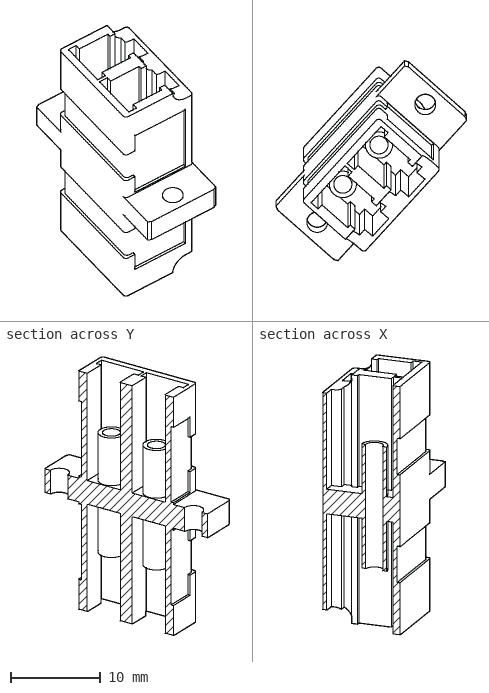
import cadquery as cq

BODY_WIDTH = 12.73
BODY_DEPTH = 9.3
BODY_HEIGHT = 29.2
BODY_CORNER_RADIUS = 0.38

FLANGE_WIDTH = 21.85
FLANGE_THICKNESS = 2.95
FLANGE_CHAMFER_X = 0.2
FLANGE_CHAMFER_Y = 0.4
MOUNT_HOLE_DIAMETER = 2.3
MOUNT_HOLE_OFFSET = 9.0

RELIEF_RADIUS = 1.85
RELIEF_FRONT_Y = 1.87

RECESS_DEPTH = 0.32
RECESS_CORNER_RADIUS = 0.47
PANEL_BOTTOM_Z = 1.7
PANEL_TOP_Z = 10.9
PANEL_FRONT_Y = -3.3
PANEL_BACK_Y = 3.6
BAND_BOTTOM_Z = 4.23
BAND_TOP_Z = 8.45

SOCKET_OFFSET = 3.0
SOCKET_FLOOR_Z = FLANGE_THICKNESS / 2
FOOT_WIDTH = 5.65
FOOT_FRONT_Y = -3.77
FOOT_BACK_Y = -2.72
BAY_WIDTH = 4.38
BAY_BACK_Y = 2.92
KEYWAY_WIDTH = 2.7
KEYWAY_BACK_Y = 4.12
RIB_PROJECTION = 0.4
RIB_FRONT_Y = 1.17
RIB_BACK_Y = RELIEF_FRONT_Y

TUBE_DIAMETER = 3.0
TUBE_BORE = 2.01
TUBE_LENGTH = 5.85
TUBE_Y = -1.55


def box_between(x_range, y_range, z_range):
    """Axis-aligned box given by its limits along X, Y and Z."""
    (x0, x1), (y0, y1), (z0, z1) = x_range, y_range, z_range
    return cq.Workplane("XY").box(x1 - x0, y1 - y0, z1 - z0, centered=False).translate((x0, y0, z0))


def centred_span(size):
    """Limits of a length centred on zero."""
    return (-size / 2, size / 2)


def rounded_block(width, depth, height, radius):
    """Centred block with its four vertical edges rounded."""
    return cq.Workplane("XY").box(width, depth, height).edges("|Z").fillet(radius)


def mounting_flange():
    """Centred plate as deep as the body, its outer corners cut by uneven chamfers."""
    end_x = FLANGE_WIDTH / 2
    face_y = BODY_DEPTH / 2
    shoulder_x = end_x - FLANGE_CHAMFER_X
    shoulder_y = face_y - FLANGE_CHAMFER_Y
    outline = [
        (shoulder_x, -face_y),
        (end_x, -shoulder_y),
        (end_x, shoulder_y),
        (shoulder_x, face_y),
        (-shoulder_x, face_y),
        (-end_x, shoulder_y),
        (-end_x, -shoulder_y),
        (-shoulder_x, -face_y),
    ]
    return cq.Workplane("XY").polyline(outline).close().extrude(FLANGE_THICKNESS / 2, both=True)


def latch_relief():
    """Cutter for the upper end: open to the back, with a concave quarter round in front."""
    top = BODY_HEIGHT / 2
    floor = top - RELIEF_RADIUS
    round_end_y = RELIEF_FRONT_Y + RELIEF_RADIUS
    return (
        cq.Workplane("YZ")
        .moveTo(RELIEF_FRONT_Y, top)
        .radiusArc((round_end_y, floor), -RELIEF_RADIUS)
        .lineTo(BODY_DEPTH, floor)
        .lineTo(BODY_DEPTH, top)
        .close()
        .extrude(BODY_WIDTH / 2, both=True)
    )


def outer_recess():
    """Cutter for the upper half: side panels joined to a band that wraps around the front."""
    body_span = centred_span(BODY_WIDTH)
    panels = box_between(body_span, (PANEL_FRONT_Y, PANEL_BACK_Y), (PANEL_BOTTOM_Z, PANEL_TOP_Z))
    band = box_between(body_span, (-BODY_DEPTH / 2, PANEL_FRONT_Y), (BAND_BOTTOM_Z, BAND_TOP_Z))
    core = rounded_block(
        BODY_WIDTH - 2 * RECESS_DEPTH,
        BODY_DEPTH - 2 * RECESS_DEPTH,
        BODY_HEIGHT,
        RECESS_CORNER_RADIUS,
    )
    return panels.union(band).cut(core)


def socket():
    """Cutter for one upper socket centred on X = 0, leaving the guide ribs and the tube standing."""
    z_range = (SOCKET_FLOOR_Z, BODY_HEIGHT / 2)
    foot = box_between(centred_span(FOOT_WIDTH), (FOOT_FRONT_Y, FOOT_BACK_Y), z_range)
    bay = box_between(centred_span(BAY_WIDTH), (FOOT_BACK_Y, BAY_BACK_Y), z_range)
    keyway = box_between(centred_span(KEYWAY_WIDTH), (BAY_BACK_Y, KEYWAY_BACK_Y), z_range)
    opening = foot.union(bay).union(keyway)

    half_bay = BAY_WIDTH / 2
    for x_range in ((-half_bay, RIB_PROJECTION - half_bay), (half_bay - RIB_PROJECTION, half_bay)):
        opening = opening.cut(box_between(x_range, (RIB_FRONT_Y, RIB_BACK_Y), z_range))

    tube = (
        cq.Workplane("XY", origin=(0, TUBE_Y, SOCKET_FLOOR_Z))
        .circle(TUBE_DIAMETER / 2)
        .extrude(TUBE_LENGTH)
    )
    return opening.cut(tube)


def through_holes(diameter, offset, y):
    """Pair of vertical holes at plus and minus the offset along X."""
    return (
        cq.Workplane("XY")
        .pushPoints([(-offset, y), (offset, y)])
        .circle(diameter / 2)
        .extrude(BODY_HEIGHT / 2, both=True)
    )


body = rounded_block(BODY_WIDTH, BODY_DEPTH, BODY_HEIGHT, BODY_CORNER_RADIUS)
result = body.union(mounting_flange())

upper_cutters = [latch_relief(), outer_recess()]
for side in (-1, 1):
    upper_cutters.append(socket().translate((side * SOCKET_OFFSET, 0, 0)))

for cutter in upper_cutters:
    result = result.cut(cutter).cut(cutter.mirror("XY"))

result = result.cut(through_holes(TUBE_BORE, SOCKET_OFFSET, TUBE_Y))
result = result.cut(through_holes(MOUNT_HOLE_DIAMETER, MOUNT_HOLE_OFFSET, 0))